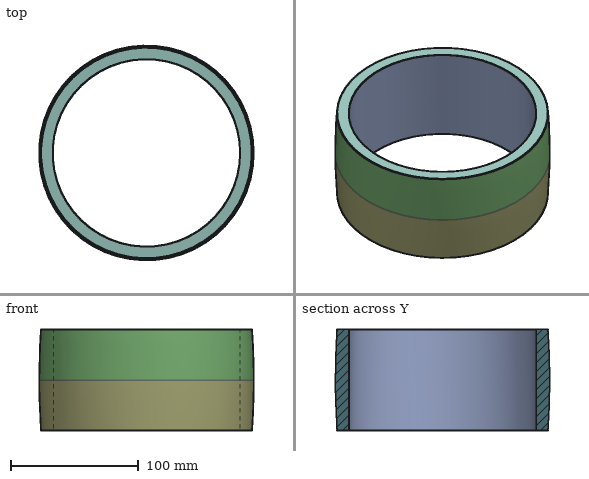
import cadquery as cq

crown_radius = 84.0
end_radius = 82.7
bore_radius = 73.1
width = 79.4
band_width = 0.7
outer_chamfer = 0.5
bore_chamfer = 0.3

half_width = width / 2
half_band = band_width / 2
crown_end = half_width - outer_chamfer

crown_drop = crown_radius - end_radius
arc_middle_radius = crown_radius - crown_drop / 4
arc_middle_height = (half_band + crown_end) / 2

profile = (
    cq.Workplane("XZ")
    .moveTo(bore_radius, -half_width + bore_chamfer)
    .lineTo(bore_radius + bore_chamfer, -half_width)
    .lineTo(end_radius - outer_chamfer, -half_width)
    .lineTo(end_radius, -crown_end)
    .threePointArc((arc_middle_radius, -arc_middle_height), (crown_radius, -half_band))
    .lineTo(crown_radius, half_band)
    .threePointArc((arc_middle_radius, arc_middle_height), (end_radius, crown_end))
    .lineTo(end_radius - outer_chamfer, half_width)
    .lineTo(bore_radius + bore_chamfer, half_width)
    .lineTo(bore_radius, half_width - bore_chamfer)
    .close()
)

result = profile.revolve(360, (0, 0, 0), (0, 1, 0))